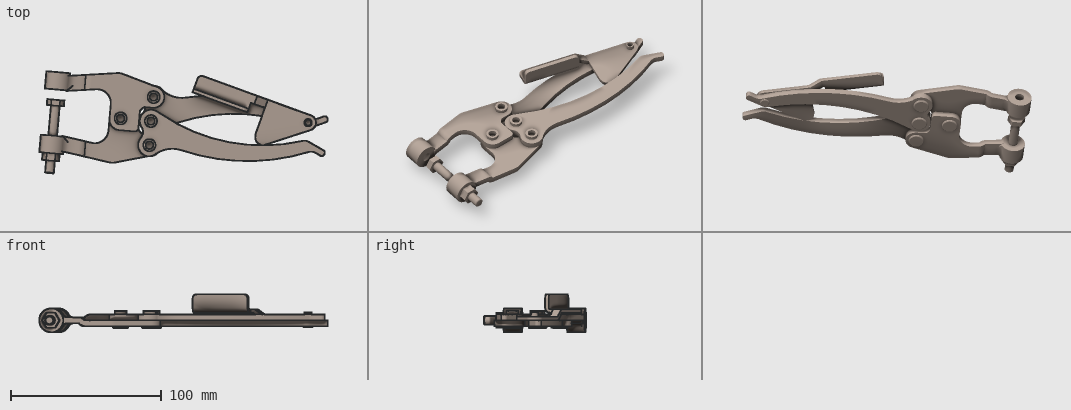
import math

import cadquery as cq

AXIS_TILT = 5.0

PLATE = 4.0
MAIN_PIVOT = (0, 0)
HANDLE_PIVOT = (20.2, 0)
JAW_HANDLE_PIVOT = (20.6, 16.0)

JAW_END_RADIUS = 7.1
JAW_MAIN_RADIUS = 7.4
JAW_HEEL_V = -7.8
JAW_HEEL_U = 12.4
JAW_SHOULDER = (-3.0, 30.1)
ARM_SLOPE = 0.145
ARM_WIDTH = 10.1
BEND_START_U = -21.5
BEND_LENGTH = 4.3
BEND_RUN = 4.0
THROAT_RADIUS = 9.0
SHOULDER_RADIUS = 8.0
NOTCH_RADIUS = 4.0
HEEL_RADIUS = 2.5
TOE_RADIUS = 7.0

BOSS_U = -43.9
BOSS_RADIUS = 8.0
BOSS_INNER_V = 15.3
BOSS_LENGTH = 11.7
ARM_ROOT_U = -37.5
BOSS_BLEND = 4.0

BOLT_DIAMETER = 6.0
BOLT_TIP_V = -40.35
BOLT_TIP_CHAMFER = 0.5
HEX_ACROSS_FLATS = 10.0
BOLT_HEAD_TOP_V = 8.6
BOLT_HEAD_HEIGHT = 4.0
NUT_HEIGHT = 5.0

HANDLE_END_RADIUS = 7.5
WAIST_RADIUS = 6.0
GRIP_INNER_RADIUS = 120.0
GRIP_INNER_APEX = (85.0, 10.0)
GRIP_INNER_START_U = 38.0
GRIP_INNER_END_U = 121.0
NECK_START = (24.8, 22.0)
NECK_MIDDLE = (31.5, 18.1)
GRIP_OUTER_START = (42.0, 17.6)
GRIP_OUTER_CREST = (74.0, 21.5)
GRIP_OUTER_END = (126.8, 11.2)
TAIL_INNER_CORNER = (123.6, 3.6)
TAIL_TIP_INNER = (137.7, 10.1)
TAIL_TIP_OUTER = (135.8, 13.9)
TAIL_OUTER_CORNER = (129.6, 11.0)
TAIL_INNER_RADIUS = 5.0
TAIL_OUTER_RADIUS = 4.0
TAIL_TIP_RADIUS = 1.8

HEAD_DIAMETER = 8.1
HEAD_HEIGHT = 2.3
TAIL_HEAD_DIAMETER = 10.2
TAIL_HEAD_HEIGHT = 1.2
TAIL_HEAD_CHAMFER = 0.5
RECESS_DIAMETER = 5.2
RECESS_DEPTH = 4.0
DRILL_POINT_ANGLE = 118.0

LEVER_PIVOT = (124.2, 8.0)
LEVER_ANGLE = 15.0
SHEET = 2.5
LEVER_EDGE = 5.25
LEVER_BASE_S = 30.3
LEVER_TOE = (24.8, -19.4)
LEVER_TOE_RADIUS = 5.2
TAB_INNER_EDGE = -0.6
TAB_RISE = 5.0
TAB_TOP_S = 37.8
PADDLE_START_S = 40.2
PADDLE_END_S = 79.0
PADDLE_FRONT = -7.3
PADDLE_TOP_Z = 17.36
PADDLE_CORNER = 3.0
PADDLE_BEND_INNER = 1.0
LEVER_RIVET_DIAMETER = 5.0
LEVER_RIVET_TOP_Z = 5.3
LEVER_RIVET_TAIL_DIAMETER = 6.3
LEVER_RIVET_TAIL_HEIGHT = 0.7
LEVER_RIVET_RECESS_DIAMETER = 3.8


def disc(centre, radius, bottom, height):
    return cq.Workplane("XY", origin=(*centre, bottom)).circle(radius).extrude(height)


def round_corner(solid, corner, radius):
    """Round the upright edge that stands at the given plan corner."""
    middle = (*corner, solid.val().Center().z)
    return solid.edges("|Z").edges(cq.NearestToPointSelector(middle)).fillet(radius)


def tangent_point(point, centre, radius, side):
    """Where a line from `point` touches a circle; side is +1 or -1."""
    du = point[0] - centre[0]
    dv = point[1] - centre[1]
    angle = math.atan2(dv, du) + side * math.acos(radius / math.hypot(du, dv))
    return (centre[0] + radius * math.cos(angle), centre[1] + radius * math.sin(angle))


def jaw_profile():
    """Side profile of the jaw plate: flat, then joggled down to centre on the boss.

    Each face of the joggle is a round shoulder of length BEND_RUN that ends in a sharp corner.
    """
    step = PLATE / 2
    end_u = BEND_START_U - BEND_LENGTH
    plate_end_u = JAW_HANDLE_PIVOT[0] + 2 * JAW_END_RADIUS
    shoulder_u = BEND_START_U - BEND_RUN
    lower_corner_u = end_u + BEND_RUN
    return (
        cq.Workplane("XZ")
        .moveTo(ARM_ROOT_U, -step)
        .lineTo(end_u, -step)
        .tangentArcPoint((lower_corner_u, 0), relative=False)
        .lineTo(plate_end_u, 0)
        .lineTo(plate_end_u, PLATE)
        .lineTo(BEND_START_U, PLATE)
        .tangentArcPoint((shoulder_u, step), relative=False)
        .lineTo(ARM_ROOT_U, step)
        .close()
        .extrude(-2 * JAW_SHOULDER[1], both=True)
    )


def jaw_outline():
    """Plan shape of the jaw, as a tall prism."""
    def arm_edge_v(u):
        return JAW_SHOULDER[1] + ARM_SLOPE * (u - JAW_SHOULDER[0])

    arm_depth = ARM_WIDTH * math.hypot(1, ARM_SLOPE)
    throat = (-JAW_MAIN_RADIUS, arm_edge_v(-JAW_MAIN_RADIUS) - arm_depth)
    heel = (JAW_HEEL_U, JAW_HEEL_V)
    notch = (JAW_HEEL_U, JAW_HANDLE_PIVOT[1] - JAW_END_RADIUS)
    toe = (-JAW_MAIN_RADIUS, JAW_HEEL_V)
    outline = (
        cq.Workplane("XY", origin=(0, 0, -BOSS_RADIUS))
        .polyline([
            (ARM_ROOT_U, arm_edge_v(ARM_ROOT_U)),
            JAW_SHOULDER,
            tangent_point(JAW_SHOULDER, JAW_HANDLE_PIVOT, JAW_END_RADIUS, -1),
            JAW_HANDLE_PIVOT,
            (JAW_HANDLE_PIVOT[0], notch[1]),
            notch,
            heel,
            toe,
            throat,
            (ARM_ROOT_U, arm_edge_v(ARM_ROOT_U) - arm_depth),
        ])
        .close()
        .extrude(2 * BOSS_RADIUS)
    )
    corners = [
        (JAW_SHOULDER, SHOULDER_RADIUS),
        (notch, NOTCH_RADIUS),
        (heel, HEEL_RADIUS),
        (toe, TOE_RADIUS),
        (throat, THROAT_RADIUS),
    ]
    for corner, radius in corners:
        outline = round_corner(outline, corner, radius)
    return outline.union(disc(JAW_HANDLE_PIVOT, JAW_END_RADIUS, -BOSS_RADIUS, 2 * BOSS_RADIUS))


def boss_blend():
    """Concave webs that lead from the arm faces up onto the boss."""
    rise = PLATE / 2 + BOSS_BLEND
    reach = math.sqrt((BOSS_RADIUS + BOSS_BLEND) ** 2 - rise ** 2)
    touch_scale = BOSS_RADIUS / (BOSS_RADIUS + BOSS_BLEND)
    touch = (BOSS_U + reach * touch_scale, rise * touch_scale)
    end_u = BOSS_U + reach
    touch_angle = math.atan2(touch[1] - rise, touch[0] - end_u)
    middle_angle = (touch_angle - math.pi / 2) / 2
    middle = (
        end_u + BOSS_BLEND * math.cos(middle_angle),
        rise + BOSS_BLEND * math.sin(middle_angle),
    )
    side = (
        cq.Workplane("XZ", origin=(0, BOSS_INNER_V, 0))
        .moveTo(BOSS_U, touch[1])
        .lineTo(*touch)
        .threePointArc(middle, (end_u, PLATE / 2))
        .lineTo(end_u, -PLATE / 2)
        .threePointArc((middle[0], -middle[1]), (touch[0], -touch[1]))
        .lineTo(BOSS_U, -touch[1])
        .close()
        .extrude(-BOSS_LENGTH)
    )
    outer_v = BOSS_INNER_V + BOSS_LENGTH
    plan = (
        cq.Workplane("XY", origin=(0, 0, -BOSS_RADIUS))
        .polyline([
            (BOSS_U, BOSS_INNER_V),
            (touch[0], BOSS_INNER_V),
            (end_u, BOSS_INNER_V + end_u - touch[0]),
            (end_u, outer_v),
            (BOSS_U, outer_v),
        ])
        .close()
        .extrude(2 * BOSS_RADIUS)
    )
    return side.intersect(plan)


def make_jaw():
    outline = jaw_outline()
    plate = outline.intersect(jaw_profile())
    boss_plane = cq.Workplane("XZ", origin=(BOSS_U, BOSS_INNER_V, 0))
    boss = boss_plane.circle(BOSS_RADIUS).extrude(-BOSS_LENGTH)
    bore = boss_plane.circle(BOLT_DIAMETER / 2).extrude(-BOSS_LENGTH)
    return plate.union(boss_blend().intersect(outline)).union(boss).cut(bore)


def make_handle():
    def grip_inner(u):
        apex_u, apex_v = GRIP_INNER_APEX
        return (u, apex_v - GRIP_INNER_RADIUS + math.sqrt(GRIP_INNER_RADIUS ** 2 - (u - apex_u) ** 2))

    half_span = math.dist(HANDLE_PIVOT, JAW_HANDLE_PIVOT) / 2
    reach = HANDLE_END_RADIUS + WAIST_RADIUS
    waist_centre = (
        (HANDLE_PIVOT[0] + JAW_HANDLE_PIVOT[0]) / 2 - math.sqrt(reach ** 2 - half_span ** 2),
        (HANDLE_PIVOT[1] + JAW_HANDLE_PIVOT[1]) / 2,
    )

    def waist_touch(pivot):
        return tuple(p + (w - p) * HANDLE_END_RADIUS / reach for p, w in zip(pivot, waist_centre))

    grip_start = grip_inner(GRIP_INNER_START_U)
    handle = (
        cq.Workplane("XY", origin=(0, 0, -PLATE))
        .moveTo(*tangent_point(grip_start, HANDLE_PIVOT, HANDLE_END_RADIUS, -1))
        .lineTo(*grip_start)
        .threePointArc(GRIP_INNER_APEX, grip_inner(GRIP_INNER_END_U))
        .lineTo(*TAIL_INNER_CORNER)
        .lineTo(*TAIL_TIP_INNER)
        .lineTo(*TAIL_TIP_OUTER)
        .lineTo(*TAIL_OUTER_CORNER)
        .lineTo(*GRIP_OUTER_END)
        .threePointArc(GRIP_OUTER_CREST, GRIP_OUTER_START)
        .threePointArc(NECK_MIDDLE, NECK_START)
        .lineTo(*JAW_HANDLE_PIVOT)
        .lineTo(*waist_touch(JAW_HANDLE_PIVOT))
        .threePointArc((waist_centre[0] + WAIST_RADIUS, waist_centre[1]), waist_touch(HANDLE_PIVOT))
        .lineTo(*HANDLE_PIVOT)
        .close()
        .extrude(PLATE)
    )
    corners = [
        (TAIL_INNER_CORNER, TAIL_INNER_RADIUS),
        (TAIL_OUTER_CORNER, TAIL_OUTER_RADIUS),
        (TAIL_TIP_INNER, TAIL_TIP_RADIUS),
        (TAIL_TIP_OUTER, TAIL_TIP_RADIUS),
    ]
    for corner, radius in corners:
        handle = round_corner(handle, corner, radius)
    for pivot in (HANDLE_PIVOT, JAW_HANDLE_PIVOT):
        handle = handle.union(disc(pivot, HANDLE_END_RADIUS, -PLATE, PLATE))
    return handle


def make_bolt():
    """Hexagon bolt through the lower boss, with its lock nut."""
    across_corners = HEX_ACROSS_FLATS / math.cos(math.pi / 6)

    def cross_plane(v):
        return cq.Workplane("XZ", origin=(BOSS_U, v, 0))

    nut_top_v = -BOSS_INNER_V - BOSS_LENGTH
    head = cross_plane(BOLT_HEAD_TOP_V).polygon(6, across_corners).extrude(BOLT_HEAD_HEIGHT)
    nut = cross_plane(nut_top_v).polygon(6, across_corners).extrude(NUT_HEIGHT)
    shank_length = BOLT_HEAD_TOP_V - BOLT_TIP_V
    shank = cross_plane(BOLT_HEAD_TOP_V).circle(BOLT_DIAMETER / 2).extrude(shank_length)
    shank = shank.faces("<Y").chamfer(BOLT_TIP_CHAMFER)
    return shank.union(head).union(nut)


def recess(centre, top_z, diameter):
    """Blind drilled hole with a conical bottom."""
    radius = diameter / 2
    floor_z = top_z - RECESS_DEPTH
    point = radius / math.tan(math.radians(DRILL_POINT_ANGLE / 2))
    cone = cq.Solid.makeCone(0, radius, point, pnt=cq.Vector(*centre, floor_z - point))
    return disc(centre, radius, floor_z, RECESS_DEPTH).union(cq.Workplane(cone))


def rivet(centre, seat_z, head_diameter, head_height, tail_diameter, tail_height):
    """Head above seat_z, bevelled tail below the lower plate, and the shank through both."""
    shank = disc(centre, head_diameter / 2, -PLATE, PLATE + seat_z + head_height)
    tail = disc(centre, tail_diameter / 2, -PLATE - tail_height, tail_height)
    return shank.union(tail.faces("<Z").chamfer(TAIL_HEAD_CHAMFER))


def make_lever():
    """Sheet release lever: triangle on its rivet, joggled tab, and L-shaped paddle.

    Built with s along x, away from the rivet, and n along y; then mirrored so that s points
    towards the jaws, turned to LEVER_ANGLE and moved onto its rivet.
    """
    pivot = (0, 0)
    base_corner = (LEVER_BASE_S, LEVER_EDGE)
    toe_side = (LEVER_BASE_S, LEVER_TOE[1])
    span = math.hypot(*LEVER_TOE)
    edge_angle = math.atan2(LEVER_TOE[1], LEVER_TOE[0])
    lean = edge_angle - math.acos((LEVER_EDGE - LEVER_TOE_RADIUS) / span)
    normal = (math.cos(lean), math.sin(lean))
    triangle = (
        cq.Workplane("XY")
        .polyline([
            pivot,
            (0, LEVER_EDGE),
            base_corner,
            toe_side,
            LEVER_TOE,
            (LEVER_TOE[0] + LEVER_TOE_RADIUS * normal[0], LEVER_TOE[1] + LEVER_TOE_RADIUS * normal[1]),
            (LEVER_EDGE * normal[0], LEVER_EDGE * normal[1]),
        ])
        .close()
        .extrude(SHEET)
        .union(disc(pivot, LEVER_EDGE, 0, SHEET))
        .union(disc(LEVER_TOE, LEVER_TOE_RADIUS, 0, SHEET))
    )
    paddle_top = TAB_RISE + SHEET
    tab = (
        cq.Workplane("XZ", origin=(0, TAB_INNER_EDGE, 0))
        .polyline([
            (LEVER_BASE_S - SHEET, 0),
            (LEVER_BASE_S + SHEET / 2, 0),
            (TAB_TOP_S + SHEET / 2, TAB_RISE),
            (PADDLE_START_S, TAB_RISE),
            (PADDLE_START_S, paddle_top),
            (TAB_TOP_S, paddle_top),
            (LEVER_BASE_S, SHEET),
            (LEVER_BASE_S - SHEET, SHEET),
        ])
        .close()
        .extrude(-(LEVER_EDGE - TAB_INNER_EDGE))
    )
    paddle_length = PADDLE_END_S - PADDLE_START_S
    inner_n = PADDLE_FRONT + SHEET
    section = (
        cq.Workplane("YZ", origin=(PADDLE_START_S, 0, 0))
        .polyline([
            (PADDLE_FRONT, TAB_RISE),
            (LEVER_EDGE, TAB_RISE),
            (LEVER_EDGE, paddle_top),
            (inner_n, paddle_top),
            (inner_n, PADDLE_TOP_Z),
            (PADDLE_FRONT, PADDLE_TOP_Z),
        ])
        .close()
        .extrude(paddle_length)
    )
    inner_edge = (PADDLE_START_S + paddle_length / 2, inner_n, paddle_top)
    outer_edge = (PADDLE_START_S + paddle_length / 2, PADDLE_FRONT, TAB_RISE)
    paddle = section.edges(cq.NearestToPointSelector(inner_edge)).fillet(PADDLE_BEND_INNER)
    paddle = paddle.edges(cq.NearestToPointSelector(outer_edge)).fillet(PADDLE_BEND_INNER + SHEET)
    paddle = paddle.faces(">Z").edges("|Y").fillet(PADDLE_CORNER)
    paddle = paddle.edges("|Z and >X and >Y").fillet(PADDLE_CORNER)
    lever = triangle.union(tab).union(paddle)
    return lever.mirror("YZ").rotate((0, 0, 0), (0, 0, 1), -LEVER_ANGLE).translate((*LEVER_PIVOT, 0))


half = make_jaw().union(make_handle())
other_half = half.rotate((0, 0, 0), (1, 0, 0), 180)
tool = half.union(other_half).union(make_bolt()).union(make_lever())

lower_pivot = (JAW_HANDLE_PIVOT[0], -JAW_HANDLE_PIVOT[1])
for pivot in (MAIN_PIVOT, HANDLE_PIVOT, JAW_HANDLE_PIVOT, lower_pivot):
    tool = tool.union(
        rivet(pivot, PLATE, HEAD_DIAMETER, HEAD_HEIGHT, TAIL_HEAD_DIAMETER, TAIL_HEAD_HEIGHT)
    )
    tool = tool.cut(recess(pivot, PLATE + HEAD_HEIGHT, RECESS_DIAMETER))

tool = tool.union(
    rivet(
        LEVER_PIVOT,
        SHEET,
        LEVER_RIVET_DIAMETER,
        LEVER_RIVET_TOP_Z - SHEET,
        LEVER_RIVET_TAIL_DIAMETER,
        LEVER_RIVET_TAIL_HEIGHT,
    )
)
tool = tool.cut(recess(LEVER_PIVOT, LEVER_RIVET_TOP_Z, LEVER_RIVET_RECESS_DIAMETER))

result = tool.rotate((0, 0, 0), (0, 0, 1), -AXIS_TILT)